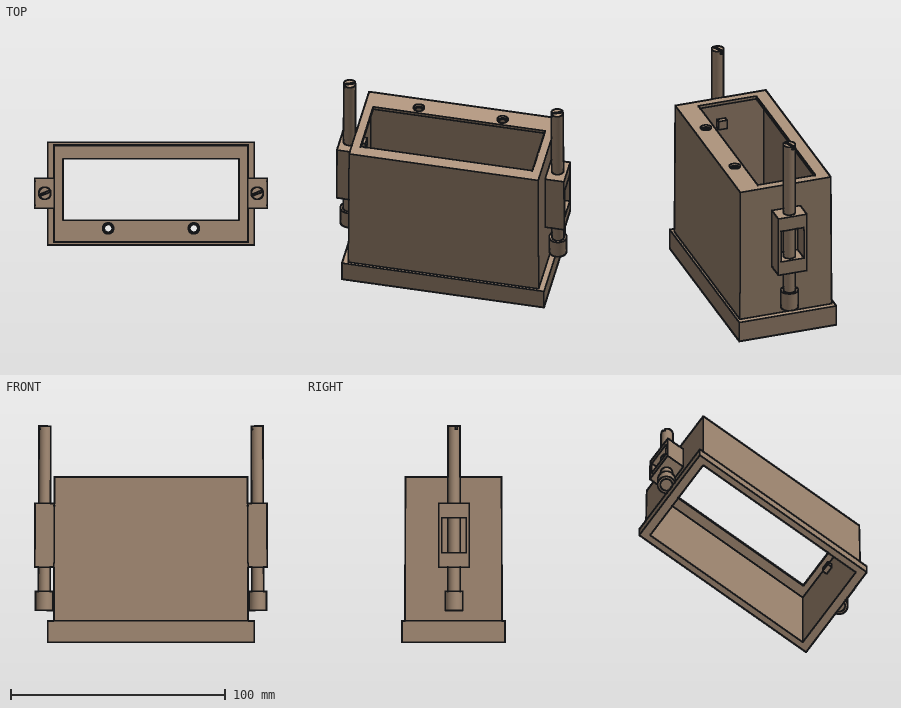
import cadquery as cq

bezel_length = 96.3
bezel_width = 48.0
bezel_height = 10.1

box_length = 90.6
box_width = 45.4
total_height = 77.2
draft_angle = 0.25
end_wall = 1.3
side_wall = 1.7
cavity_length = box_length - 2 * end_wall
cavity_width = box_width - 2 * side_wall

top_plate_thickness = 1.5
opening_length = 81.8
opening_width = 28.6
opening_offset = 2.0
plate_hole_spacing = 39.9
plate_hole_y = -16.2
plate_hole_diameter = 3.7
countersink_diameter = 5.1
countersink_angle = 90

lug_width = 4.1
lug_reach = 2.4
lug_height = 4.3
lug_top = 66.5

bracket_depth = 9.0
bracket_width = 14.1
bracket_height = 29.8
bracket_bottom = 35.0
window_width = 11.3
window_height = 16.2

screw_diameter = 5.6
screw_bottom = 14.8
screw_top = 100.8
slot_width = 0.9
slot_depth = 1.6
slot_angle = 22
sleeve_diameter = 8.1
sleeve_height = 8.9

clamp_y = 0.2

wall_x = box_length / 2
screw_x = wall_x + bracket_depth / 2


def block(length, width, height, x=0, y=0, bottom=0):
    """Box centred on (x, y) that rises from the given bottom height."""
    base = cq.Workplane("XY", origin=(x, y, bottom))
    return base.box(length, width, height, centered=(True, True, False))


def upright_cylinder(diameter, bottom, height):
    """Cylinder on the screw axis."""
    return cq.Workplane("XY", origin=(screw_x, 0, bottom)).circle(diameter / 2).extrude(height)


def make_housing():
    bezel = block(bezel_length, bezel_width, bezel_height)
    box = (
        cq.Workplane("XY", origin=(0, 0, bezel_height))
        .rect(box_length, box_width)
        .extrude(total_height - bezel_height, taper=draft_angle)
    )
    cavity = block(cavity_length, cavity_width, total_height - top_plate_thickness)
    opening = block(opening_length, opening_width, total_height, y=opening_offset)
    housing = bezel.union(box).cut(cavity).cut(opening)

    lug_x = (cavity_length - lug_reach) / 2
    for side in (-1, 1):
        lug = block(lug_reach, lug_width, lug_height, x=side * lug_x, bottom=lug_top - lug_height)
        housing = housing.union(lug)

    hole_points = [(side * plate_hole_spacing / 2, plate_hole_y) for side in (-1, 1)]
    return (
        housing.faces(">Z")
        .workplane(origin=(0, 0, total_height))
        .pushPoints(hole_points)
        .cskHole(plate_hole_diameter, countersink_diameter, countersink_angle, depth=2 * top_plate_thickness)
    )


def make_bracket():
    """Block with a window through it along X and a bore for the screw along Z."""
    body = block(bracket_depth, bracket_width, bracket_height, x=screw_x, bottom=bracket_bottom)
    window_bottom = bracket_bottom + (bracket_height - window_height) / 2
    window = block(bracket_depth, window_width, window_height, x=screw_x, bottom=window_bottom)
    bore = upright_cylinder(screw_diameter, bracket_bottom, bracket_height)
    return body.cut(window).cut(bore)


def make_screw():
    """Plain shank with a driver slot across its top end."""
    shank = upright_cylinder(screw_diameter, screw_bottom, screw_top - screw_bottom)
    slot = block(2 * screw_diameter, slot_width, slot_depth, x=screw_x, bottom=screw_top - slot_depth)
    return shank.cut(slot).rotate((screw_x, 0, 0), (screw_x, 0, 1), slot_angle)


def make_sleeve():
    """Ring around the lower end of the screw, flush with the end of the shank."""
    outside = upright_cylinder(sleeve_diameter, screw_bottom, sleeve_height)
    bore = upright_cylinder(screw_diameter, screw_bottom, sleeve_height)
    return outside.cut(bore)


def place_on_end(body, turn):
    """Lean a body against the drafted +X wall, turn it about Z to its own end, then offset it in Y."""
    leaned = body.rotate((wall_x, 0, bezel_height), (wall_x, 1, bezel_height), -draft_angle)
    return leaned.rotate((0, 0, 0), (0, 0, 1), turn).translate((0, clamp_y, 0)).val()


end_turns = (0, 180)
housing = make_housing()
brackets = [place_on_end(make_bracket(), turn) for turn in end_turns]
screws = [place_on_end(make_screw(), turn) for turn in end_turns]
sleeves = [place_on_end(make_sleeve(), turn) for turn in end_turns]

result = cq.Compound.makeCompound([housing.val(), *brackets, *screws, *sleeves])